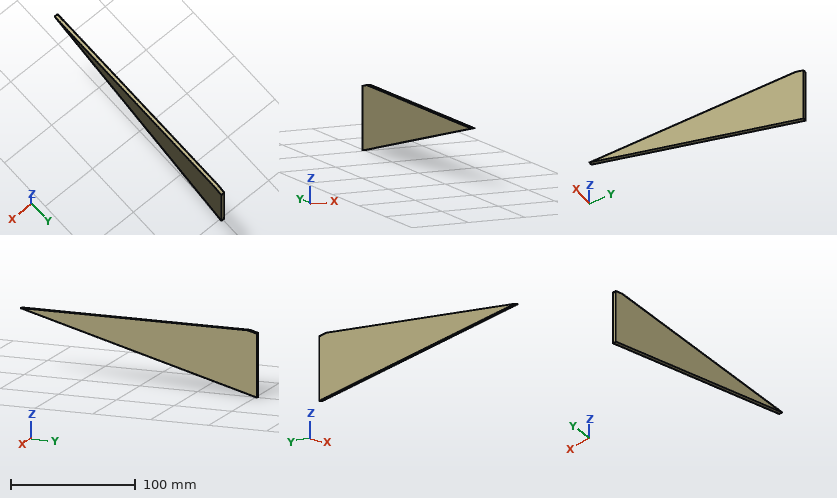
import cadquery as cq

thickness = 3.3
length = 204.2
height = 54.7

corner_run = 7.5
corner_drop = corner_run * height / length

tip_y = -length / 2
tall_end_y = length / 2
top_z = height / 2
bottom_z = -height / 2

outline = [
    (tip_y, top_z),
    (tall_end_y, bottom_z),
    (tall_end_y, top_z - corner_drop),
    (tall_end_y - corner_run, top_z),
]

result = cq.Workplane("YZ").polyline(outline).close().extrude(thickness / 2, both=True)